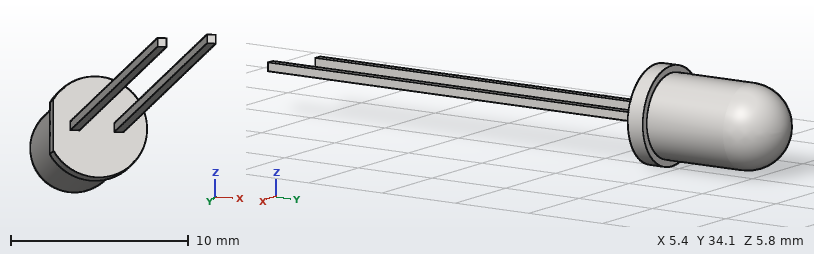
import cadquery as cq

total_length = 34.1
long_lead_length = 25.4
lead_length_difference = 1.5
lead_width = 0.5
lead_spacing = 2.52

lens_height = total_length - long_lead_length
lens_radius = 2.5
flange_diameter = 5.8
flange_radius = flange_diameter / 2
flange_thickness = 1.02
flat_offset = lens_radius


def make_flange():
    """Disc with a flat on its -X side."""
    disc = cq.Workplane("XZ").circle(flange_radius).extrude(-flange_thickness)
    keep_width = flat_offset + flange_radius
    keep_box = cq.Workplane("XY").box(
        keep_width, flange_thickness, flange_diameter, centered=(False, False, True)
    ).translate((-flat_offset, 0, 0))
    return disc.intersect(keep_box)


def make_lens():
    """Barrel with a hemispherical dome, joined to the flange."""
    dome_base = lens_height - lens_radius
    barrel_and_dome = (
        cq.Workplane("XY")
        .moveTo(0, 0)
        .lineTo(lens_radius, 0)
        .lineTo(lens_radius, dome_base)
        .radiusArc((0, lens_height), -lens_radius)
        .close()
        .revolve(360, (0, 0), (0, 1))
    )
    return barrel_and_dome.union(make_flange())


def make_lead(x_center, length):
    """Square lead running in -Y from the flange underside."""
    return (
        cq.Workplane("XZ")
        .center(x_center, 0)
        .rect(lead_width, lead_width)
        .extrude(length)
    )


lens = make_lens()
short_lead_length = long_lead_length - lead_length_difference
lead_layout = [
    (-lead_spacing / 2, short_lead_length),
    (lead_spacing / 2, long_lead_length),
]
leads = [make_lead(x_center, length) for x_center, length in lead_layout]

result = cq.Compound.makeCompound([lens.val(), *[lead.val() for lead in leads]])